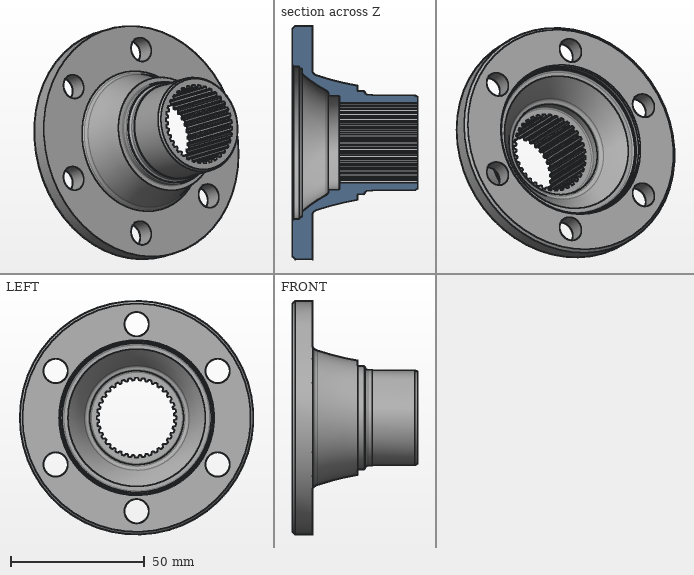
import cadquery as cq
import math

total_length = 47.0

flange_radius = 43.75
flange_thickness = 7.6
flange_chamfer = 1.05
bolt_count = 6
bolt_circle_radius = 35.0
bolt_hole_diameter = 9.0

body_foot_radius = 26.6
body_foot_length = 0.4
body_foot_end_radius = 26.0
foot_fillet_sag = 0.13
flare_start = 9.45
flare_start_radius = 25.2
flare_end = 24.5
flare_end_radius = 21.4
flare_sag = 0.29

shoulder_radius = 19.4
shoulder_end = 27.1
shoulder_root_fillet = 0.3
shoulder_round = 0.5
collar_start = 27.4
collar_radius = 18.0
collar_end = 30.0
collar_root_fillet = 0.8
hub_radius = 17.85
hub_chamfer_length = 1.05
hub_chamfer_height = 0.6

mouth_radius = 28.5
mouth_chamfer = 0.5
mouth_depth = 2.6
seat_radius = 27.9
seat_depth = 3.7
seat_fillet = 0.6
throat_start_radius = 25.7
throat_end = 12.5
throat_end_radius = 19.6
throat_sag = 0.29

ledge_depth = 13.6
ledge_outer_radius = 18.1
ledge_fillet_sag = 0.28
well_radius = 17.6
well_depth = 17.7
well_fillet = 0.5

spline_grooves = 36
spline_root_radius = 14.9
spline_tip_radius = 14.0
groove_root_width = 1.0
groove_tip_width = 1.75


def sagged_middle(start, end, sag):
    """Middle of an arc from start to end, sag away from their chord.

    On a profile that narrows away from the flange, a positive sag lies towards the
    axis and the flange, and a negative one lies on the far side of the chord.
    """
    dx = end[0] - start[0]
    dr = end[1] - start[1]
    length = math.hypot(dx, dr)
    middle_x = (start[0] + end[0]) / 2
    middle_r = (start[1] + end[1]) / 2
    return (middle_x + sag * dr / length, middle_r - sag * dx / length)


def quarter_round(start, corner):
    """Middle and end of the quarter arc that rounds a square corner of a profile.

    The arc leaves start towards the corner and then turns: from running along the
    axis to running inwards, or from running inwards to running along the axis.
    """
    radius = math.dist(start, corner)
    tuck = radius * (1 - math.sqrt(0.5))
    if start[0] == corner[0]:
        middle = (corner[0] + tuck, corner[1] + tuck)
        end = (corner[0] + radius, corner[1])
    else:
        middle = (corner[0] - tuck, corner[1] - tuck)
        end = (corner[0], corner[1] - radius)
    return middle, end


def revolve_about_x(profile):
    return profile.close().revolve(360, (0, 0, 0), (1, 0, 0))


def make_outside():
    foot_end = (flange_thickness + body_foot_length, body_foot_end_radius)
    flare_from = (flare_start, flare_start_radius)
    flare_to = (flare_end, flare_end_radius)
    shoulder_root = (flare_end, shoulder_radius + shoulder_root_fillet)
    shoulder_edge = (shoulder_end - shoulder_round, shoulder_radius)
    collar_root = (collar_start, collar_radius + collar_root_fillet)
    profile = (
        cq.Workplane("XY")
        .lineTo(0, flange_radius - flange_chamfer)
        .lineTo(flange_chamfer, flange_radius)
        .lineTo(flange_thickness, flange_radius)
        .lineTo(flange_thickness, body_foot_radius)
        .lineTo(*foot_end)
        .threePointArc(sagged_middle(foot_end, flare_from, foot_fillet_sag), flare_from)
        .threePointArc(sagged_middle(flare_from, flare_to, flare_sag), flare_to)
        .lineTo(*shoulder_root)
        .threePointArc(*quarter_round(shoulder_root, (flare_end, shoulder_radius)))
        .lineTo(*shoulder_edge)
        .threePointArc(*quarter_round(shoulder_edge, (shoulder_end, shoulder_radius)))
        .lineTo(*collar_root)
        .threePointArc(*quarter_round(collar_root, (collar_start, collar_radius)))
        .lineTo(collar_end, collar_radius)
        .lineTo(collar_end, hub_radius)
        .lineTo(total_length - hub_chamfer_length, hub_radius)
        .lineTo(total_length, hub_radius - hub_chamfer_height)
        .lineTo(total_length, 0)
    )
    return revolve_about_x(profile)


def make_cavity():
    seat_wall_end = (seat_depth - seat_fillet, seat_radius)
    throat_from = (seat_depth, throat_start_radius)
    throat_to = (throat_end, throat_end_radius)
    ledge_outer = (ledge_depth, ledge_outer_radius)
    well_wall_end = (well_depth - well_fillet, well_radius)
    profile = (
        cq.Workplane("XY")
        .lineTo(0, mouth_radius + mouth_chamfer)
        .lineTo(mouth_chamfer, mouth_radius)
        .lineTo(mouth_depth, mouth_radius)
        .lineTo(mouth_depth, seat_radius)
        .lineTo(*seat_wall_end)
        .threePointArc(*quarter_round(seat_wall_end, (seat_depth, seat_radius)))
        .lineTo(*throat_from)
        .threePointArc(sagged_middle(throat_from, throat_to, throat_sag), throat_to)
        .threePointArc(sagged_middle(throat_to, ledge_outer, -ledge_fillet_sag), ledge_outer)
        .lineTo(ledge_depth, well_radius)
        .lineTo(*well_wall_end)
        .threePointArc(*quarter_round(well_wall_end, (well_depth, well_radius)))
        .lineTo(well_depth, 0)
    )
    return revolve_about_x(profile)


def make_bolt_holes():
    return (
        cq.Workplane("YZ")
        .polarArray(bolt_circle_radius, 90, 360, bolt_count)
        .circle(bolt_hole_diameter / 2)
        .extrude(flange_thickness)
    )


def polar_point(radius, angle):
    return (radius * math.cos(angle), radius * math.sin(angle))


def make_spline():
    pitch = 2 * math.pi / spline_grooves
    tip_half_angle = math.asin(groove_tip_width / 2 / spline_tip_radius)
    root_half_angle = math.asin(groove_root_width / 2 / spline_root_radius)
    outline = cq.Workplane("YZ").moveTo(*polar_point(spline_tip_radius, -tip_half_angle))
    for index in range(spline_grooves):
        groove_angle = index * pitch
        land_middle = groove_angle + pitch / 2
        land_end = groove_angle + pitch - tip_half_angle
        outline = (
            outline.lineTo(*polar_point(spline_root_radius, groove_angle - root_half_angle))
            .lineTo(*polar_point(spline_root_radius, groove_angle + root_half_angle))
            .lineTo(*polar_point(spline_tip_radius, groove_angle + tip_half_angle))
            .threePointArc(
                polar_point(spline_tip_radius, land_middle),
                polar_point(spline_tip_radius, land_end),
            )
        )
    return outline.close().extrude(total_length)


result = make_outside().cut(make_cavity()).cut(make_spline()).cut(make_bolt_holes())